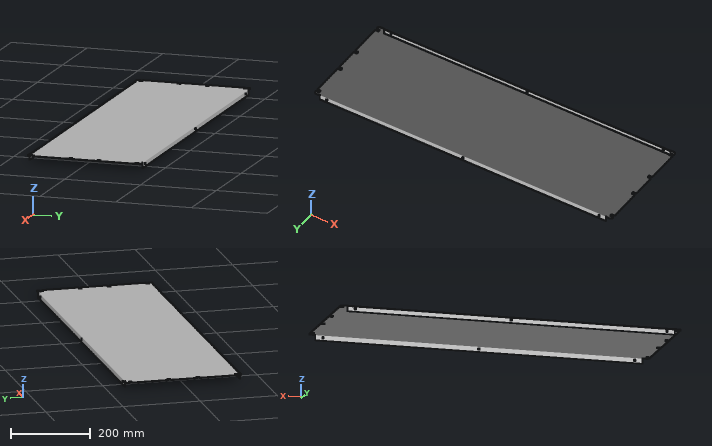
import cadquery as cq

length = 886.5
width = 300.0
height = 15.0
sheet = 1.5
bend_radius = 2.0

flange_length = 853.0
hole_diameter = 4.2
hole_spacing = 406.0
hole_drop = 7.0

corner_radius = 6.0
slot_depth = 10.0
slot_width = 7.0
inner_slot_offset = 37.0
outer_slot_offset = 137.0


def make_plate():
    """Flat top sheet with rounded corners, its top face at Z = 0."""
    plate = cq.Workplane("XY").box(length, width, sheet, centered=(True, True, False))
    return plate.translate((0, 0, -sheet)).edges("|Z").fillet(corner_radius)


def make_channel():
    """Folded sheet: the web of the plate and both downturned flanges."""
    channel = cq.Workplane("XY").box(flange_length, width, height, centered=(True, True, False))
    channel = channel.translate((0, 0, -height)).edges("|X and >Z").fillet(bend_radius)
    cavity_height = height - sheet
    cavity = cq.Workplane("XY").box(
        flange_length, width - 2 * sheet, cavity_height, centered=(True, True, False)
    )
    cavity = cavity.translate((0, 0, -height)).edges("|X and >Z").fillet(bend_radius - sheet)
    return channel.cut(cavity)


def make_fold_blank():
    """Square outer edges of the plate that the rounded folds replace."""
    edge_strip = cq.Workplane("XY").box(flange_length, bend_radius, 2 * sheet)
    offset = (width - bend_radius) / 2
    return edge_strip.translate((0, offset, 0)).union(edge_strip.translate((0, -offset, 0)))


def make_end_slots():
    """Open rectangular slots along both short ends."""
    offsets = (-outer_slot_offset, -inner_slot_offset, inner_slot_offset, outer_slot_offset)
    centres = [(end * length / 2, y) for end in (-1, 1) for y in offsets]
    return cq.Workplane("XY").pushPoints(centres).rect(2 * slot_depth, slot_width).extrude(height, both=True)


def make_flange_holes():
    """Three round holes through both flanges."""
    centres = [(x, -hole_drop) for x in (-hole_spacing, 0, hole_spacing)]
    return cq.Workplane("XZ").pushPoints(centres).circle(hole_diameter / 2).extrude(width, both=True)


result = make_plate().cut(make_fold_blank()).union(make_channel())
result = result.cut(make_end_slots()).cut(make_flange_holes())